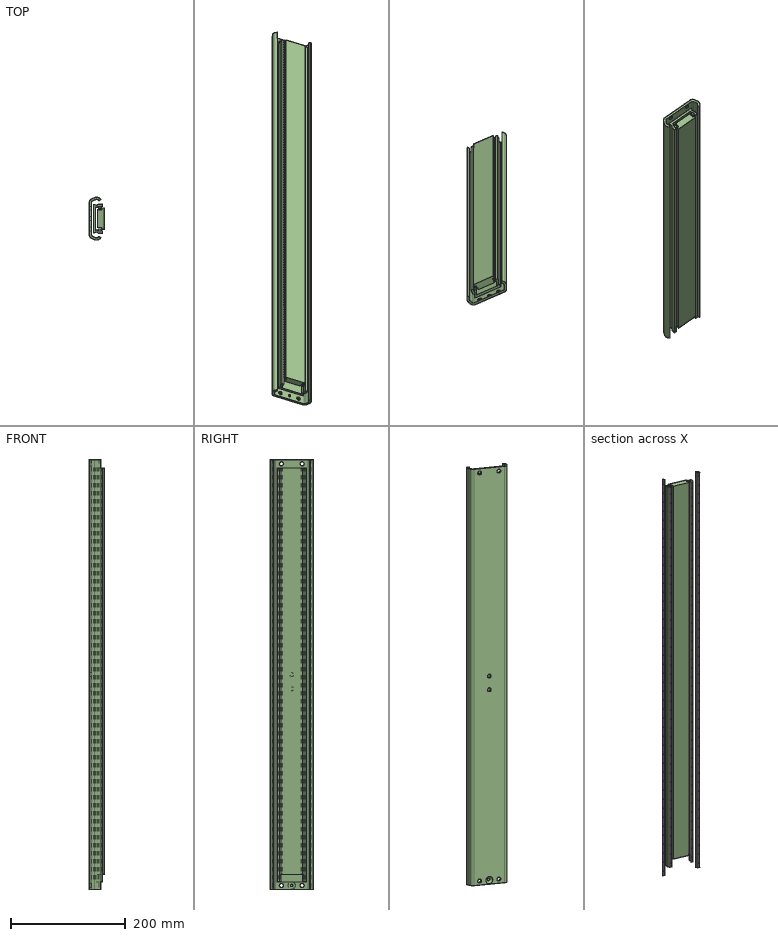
import cadquery as cq
import math

rail_length = 750.0
rail_height = 75.0
slide_depth = 26.0

outer_sheet = 4.1
corner_radius = 6.4
shoulder_slope = 25.0
shoulder_run = 5.1
lip_radius = 9.0
lip_end_slope = -60.0

web_hole_diameter = 7.0
corner_hole_y = 18.0
hole_end_distance = 7.5
centre_hole_pitch = 25.0
countersink_diameter = 13.0
countersink_bore = 4.0

middle_sheet = 4.1
middle_back_x = 7.1
middle_front_x = 23.0
flange_half_height = 25.5
corner_half_height = 25.0
groove_half_height = 23.0
groove_start_x = 9.0
groove_bottom_x = 13.5
groove_end_x = 16.0

bar_back_x = 14.0
plate_back_x = 22.0
bar_half_height = 16.0
plate_half_height = 19.0

cage_back_x = 16.0
cage_front_x = 21.0
cage_inner_y = 18.0
cage_outer_y = flange_half_height - middle_sheet

inside_top_z = 735.0
middle_bottom_z = 13.5
inner_bottom_z = 27.0


def mirror_down(points):
    return [(x, -y) for x, y in points]


def arc_point(centre, radius, slope):
    """Point on the upper half of a circle where the tangent rises at this slope, in degrees, along X."""
    angle = math.radians(slope)
    return (centre[0] - radius * math.sin(angle), centre[1] + radius * math.cos(angle))


def extrude_mirrored(upper_outline, bottom_z):
    """Extrude a straight-sided section, given by its upper half, up to the inside top."""
    outline = upper_outline + mirror_down(reversed(upper_outline))
    section = cq.Workplane("XY").workplane(offset=bottom_z).polyline(outline).close()
    return section.extrude(inside_top_z - bottom_z)



def outer_rail_side(depth):
    """Upper half of the outer rail skin, from web to lip end, set in from the outside by a depth."""
    slope = math.radians(shoulder_slope)
    shoulder_end_x = corner_radius * (1 - math.sin(slope)) + shoulder_run
    lip_centre = (
        shoulder_end_x + lip_radius * math.sin(slope),
        rail_height / 2 - lip_radius,
    )
    shoulder_end = arc_point(lip_centre, lip_radius, shoulder_slope)
    corner_centre = (
        corner_radius,
        shoulder_end[1] - shoulder_run * math.tan(slope) - corner_radius * math.cos(slope),
    )
    corner_slopes = (90.0, (90.0 + shoulder_slope) / 2, shoulder_slope)
    lip_slopes = (shoulder_slope, (shoulder_slope + lip_end_slope) / 2, lip_end_slope)
    corner = [arc_point(corner_centre, corner_radius - depth, s) for s in corner_slopes]
    lip = [arc_point(lip_centre, lip_radius - depth, s) for s in lip_slopes]
    return corner + lip


def add_side(wire, side):
    """Continue a wire along one skin: line to its start, arc, line, arc."""
    start, first_mid, first_end, second_start, second_mid, end = side
    wire = wire.lineTo(*start).threePointArc(first_mid, first_end)
    return wire.lineTo(*second_start).threePointArc(second_mid, end)


def outer_rail_blank():
    outside = outer_rail_side(0)
    inside = outer_rail_side(outer_sheet)
    wire = cq.Workplane("XY").moveTo(0, 0)
    wire = add_side(wire, outside)
    wire = add_side(wire, inside[::-1])
    wire = add_side(wire, mirror_down(inside))
    wire = add_side(wire, mirror_down(outside[::-1]))
    return wire.close().extrude(rail_length)


def web_holes():
    ends = (hole_end_distance, rail_length - hole_end_distance)
    places = [(y, z) for y in (-corner_hole_y, corner_hole_y) for z in ends]
    centre_z = rail_length / 2
    places += [(0, centre_z), (0, centre_z - centre_hole_pitch)]
    return cq.Workplane("YZ").pushPoints(places).circle(web_hole_diameter / 2).extrude(outer_sheet)


def countersunk_hole():
    """Cone through the web at the bottom end, wide on the mounting face."""
    cone = cq.Workplane("YZ").center(0, hole_end_distance).circle(countersink_diameter / 2)
    return cone.workplane(offset=outer_sheet).circle(countersink_bore / 2).loft()


def make_outer_rail():
    return outer_rail_blank().cut(web_holes()).cut(countersunk_hole())



def make_middle_rail():
    flange_outside = [
        (middle_back_x, corner_half_height),
        (groove_start_x, corner_half_height),
        (groove_bottom_x, groove_half_height),
        (groove_end_x, flange_half_height),
        (middle_front_x, flange_half_height),
    ]
    flange_inside = [
        (middle_front_x, flange_half_height - middle_sheet),
        (groove_end_x, flange_half_height - middle_sheet),
        (groove_bottom_x, groove_half_height - middle_sheet),
        (middle_back_x + middle_sheet, corner_half_height - middle_sheet),
    ]
    return extrude_mirrored(flange_outside + flange_inside, middle_bottom_z)



def make_inner_rail():
    upper_outline = [
        (bar_back_x, bar_half_height),
        (plate_back_x, bar_half_height),
        (plate_back_x, plate_half_height),
        (slide_depth, plate_half_height),
    ]
    return extrude_mirrored(upper_outline, inner_bottom_z)



def make_cage(side):
    """Cage strip against the upper (+1) or lower (-1) flange of the middle rail."""
    section = cq.Workplane("XY").workplane(offset=inner_bottom_z)
    section = section.center(
        (cage_back_x + cage_front_x) / 2,
        side * (cage_inner_y + cage_outer_y) / 2,
    )
    strip = section.rect(cage_front_x - cage_back_x, cage_outer_y - cage_inner_y)
    return strip.extrude(inside_top_z - inner_bottom_z)


outer_rail = make_outer_rail()
middle_rail = make_middle_rail()
inner_rail = make_inner_rail()
cages = [make_cage(side) for side in (1, -1)]

result = cq.Compound.makeCompound([
    outer_rail.val(),
    middle_rail.val(),
    inner_rail.val(),
    *[cage.val() for cage in cages],
])